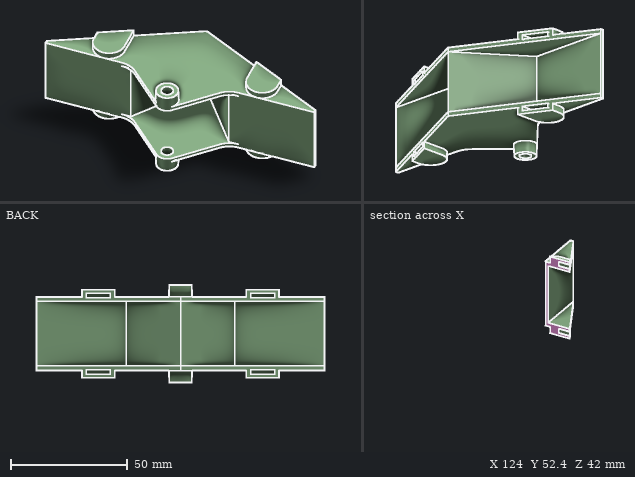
import cadquery as cq
import math

half_span = 62.0
apex_y = 32.2
overall_height = 42.0
body_height = 31.7
plate_thickness = 2.0
wall_thickness = 1.5

throat_half_width = 22.6
throat_fillet = 10.4
lug_y = -15.1
lug_radius = 5.1
boss_top_radius = 4.8
boss_height = (overall_height - body_height) / 2
hole_radius = 2.6

pad_x = 35.3
pad_radius = 7.1
pad_height = 3.1
slot_radius = 5.2
slot_roof = 1.5
slot_recess = 0.4

half_height = body_height / 2
rear_outline = [(half_span, 0), (half_span, wall_thickness), (0, apex_y),
                (-half_span, wall_thickness), (-half_span, 0)]


def make_plate():
    """Top plate: triangular rear with a rounded lug at the front."""
    corner_distance = math.hypot(throat_half_width, lug_y)
    edge_angle = math.atan2(-lug_y, throat_half_width) + math.asin(lug_radius / corner_distance)
    tangent_x = lug_radius * math.sin(edge_angle)
    tangent_y = lug_y - lug_radius * math.cos(edge_angle)
    plate = (
        cq.Workplane("XY", origin=(0, 0, half_height - plate_thickness))
        .polyline(rear_outline)
        .lineTo(-throat_half_width, 0)
        .lineTo(-tangent_x, tangent_y)
        .threePointArc((0, lug_y - lug_radius), (tangent_x, tangent_y))
        .lineTo(throat_half_width, 0)
        .close()
        .extrude(plate_thickness)
    )
    for side in (-1, 1):
        corner = cq.selectors.NearestToPointSelector(
            (side * throat_half_width, 0, half_height - plate_thickness / 2))
        plate = plate.edges("|Z").edges(corner).fillet(throat_fillet)
    return plate


def rounded_tongue(x, radius, bottom, height):
    """Tongue with a round front end, trimmed to the sloping rear edge."""
    tongue = (
        cq.Workplane("XY", origin=(0, 0, bottom))
        .moveTo(x - radius, apex_y)
        .lineTo(x - radius, pad_radius)
        .threePointArc((x, pad_radius - radius), (x + radius, pad_radius))
        .lineTo(x + radius, apex_y)
        .close()
        .extrude(height)
    )
    rear_limit = (
        cq.Workplane("XY", origin=(0, 0, bottom)).polyline(rear_outline).close().extrude(height)
    )
    return tongue.intersect(rear_limit)


def make_top():
    """Top plate with its pads, slots, boss and pin hole."""
    top = make_plate()
    for x in (-pad_x, pad_x):
        top = top.union(rounded_tongue(x, pad_radius, half_height, pad_height))
        slot_height = pad_height - slot_roof + slot_recess
        top = top.cut(rounded_tongue(x, slot_radius, half_height - slot_recess, slot_height))
    boss = (
        cq.Workplane("XY", origin=(0, lug_y, half_height))
        .circle(lug_radius)
        .workplane(offset=boss_height)
        .circle(boss_top_radius)
        .loft()
    )
    hole = (
        cq.Workplane("XY", origin=(0, lug_y, half_height - plate_thickness))
        .circle(hole_radius)
        .extrude(plate_thickness + boss_height)
    )
    return top.union(boss).cut(hole)


def make_web():
    """Bent sheet between the plates: two front wings and a deep V."""
    width_squared = throat_half_width ** 2
    thickness_squared = wall_thickness ** 2
    gap_factor = 1 - thickness_squared / width_squared
    root = math.sqrt(apex_y ** 2 - gap_factor * (apex_y ** 2 - thickness_squared))
    inner_apex = (apex_y - root) / gap_factor
    slope = inner_apex / throat_half_width
    bend_x = (apex_y - wall_thickness) / slope
    return (
        cq.Workplane("XY", origin=(0, 0, -half_height))
        .polyline([
            (-half_span, 0), (-throat_half_width, 0), (0, inner_apex),
            (throat_half_width, 0), (half_span, 0), (half_span, wall_thickness),
            (bend_x, wall_thickness), (0, apex_y), (-bend_x, wall_thickness),
            (-half_span, wall_thickness),
        ])
        .close()
        .extrude(body_height)
    )


top = make_top()
result = make_web().union(top).union(top.mirror("XY"))